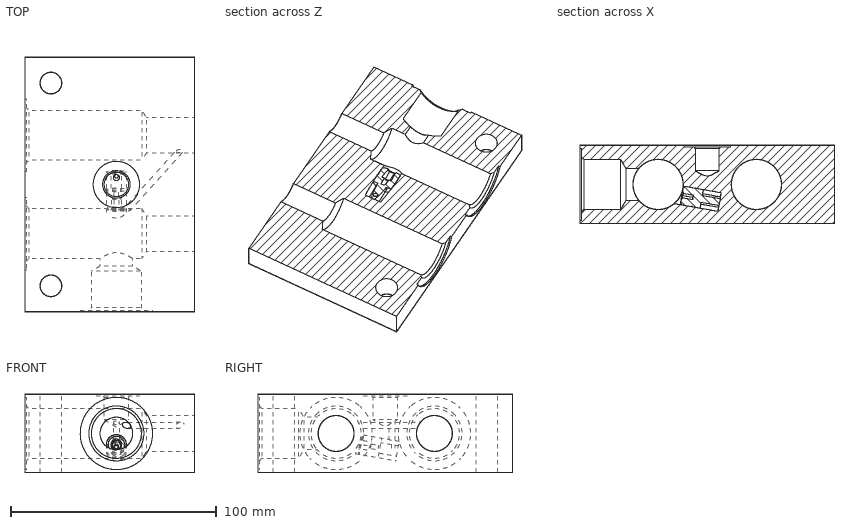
import cadquery as cq
import math

block_width = 82.6
block_length = 123.8
block_height = 38.1
left_face = -block_width / 2
front_face = -block_length / 2
top_face = block_height / 2

drill_point_angle = 118.0
port_centre_x = 3.2

spotface_depth = 0.7
port_chamfer = 1.2
large_spotface_radius = 17.6
large_thread_radius = 12.1
front_thread_depth = 19.8
main_chamber_depth = 57.0

gauge_spotface_radius = 11.3
gauge_chamfer = 0.7
gauge_thread_radius = 6.0
gauge_thread_depth = 12.4

main_bore_radius = 8.7
main_bore_offset = 23.9
front_bore_radius = 7.9

mounting_hole_radius = 5.2
mounting_hole_x = -28.6
mounting_hole_y = 49.3

small_drill_radius = 1.5
gauge_feed_y = 3.3
cross_start_x = 8.2
cross_z = 4.0
cross_angle = 42.0

screw_slope = 10.0
screw_face_y = -12.4
screw_face_z = -5.3
mouth_clearance = 8.7
screw_radius = 4.8
screw_chamfer_width = 0.9
screw_chamfer_depth = 0.6
screw_body_length = 9.9
nose_radius = 2.6
nose_length = 8.7
hex_across_flats = 4.2
hex_depth = 5.5
hex_countersink_radius = 2.6
hex_countersink_depth = 0.6
orifice_radius = 1.1
orifice_depth = 3.7
outlet_radius = 0.9
outlet_y = 4.0

screw_axis = cq.Vector(0, math.cos(math.radians(screw_slope)), -math.sin(math.radians(screw_slope)))
screw_face_centre = cq.Vector(port_centre_x, screw_face_y, screw_face_z)
screw_length = screw_body_length + nose_length
hex_corner_radius = hex_across_flats / 2 / math.cos(math.radians(30))


def drill_tip(wide_radius, narrow_radius=0.0):
    """Length of the cone that a drill point leaves between two radii."""
    return (wide_radius - narrow_radius) / math.tan(math.radians(drill_point_angle / 2))


def revolved(profile, origin, direction):
    """Solid of revolution: (radius, depth) points turned about an axis from origin along direction."""
    direction = cq.Vector(*direction)
    side = cq.Vector(0, 0, 1) if abs(direction.z) < 0.5 else cq.Vector(1, 0, 0)
    side = side - direction * side.dot(direction)
    frame = cq.Plane(origin=origin, xDir=side, normal=side.cross(direction))
    return cq.Workplane(frame).polyline(profile).close().revolve(360, (0, 0, 0), (0, 1, 0))


def port(origin, direction, spotface_radius, thread_radius, thread_depth, chamfer, bore_radius):
    """Spotfaced, chamfered port whose drill cone ends at the bore radius (0 for a full point)."""
    profile = [
        (0, 0),
        (spotface_radius, 0),
        (spotface_radius, spotface_depth),
        (thread_radius + chamfer, spotface_depth),
        (thread_radius, spotface_depth + chamfer),
        (thread_radius, thread_depth),
        (bore_radius, thread_depth + drill_tip(thread_radius, bore_radius)),
    ]
    if bore_radius > 0:
        profile.append((0, profile[-1][1]))
    return revolved(profile, origin, direction)


def drilling(start, direction, radius, length):
    """Plain round hole from start along direction."""
    return cq.Workplane(cq.Solid.makeCylinder(radius, length, cq.Vector(*start), cq.Vector(*direction)))


def screw_axis_height(y):
    """Z of the sloping screw axis at a given Y."""
    return screw_face_z - (y - screw_face_y) * math.tan(math.radians(screw_slope))


def make_block():
    block = cq.Workplane().box(block_width, block_length, block_height)

    for y in (-main_bore_offset, main_bore_offset):
        entry = (left_face, y, 0)
        block = block.cut(drilling(entry, (1, 0, 0), main_bore_radius, block_width))
        block = block.cut(port(entry, (1, 0, 0), large_spotface_radius, large_thread_radius,
                               main_chamber_depth, port_chamfer, main_bore_radius))

    entry = (port_centre_x, front_face, 0)
    block = block.cut(port(entry, (0, 1, 0), large_spotface_radius, large_thread_radius,
                           front_thread_depth, port_chamfer, front_bore_radius))
    block = block.cut(drilling(entry, (0, 1, 0), front_bore_radius, -main_bore_offset - front_face))

    entry = (port_centre_x, 0, top_face)
    block = block.cut(port(entry, (0, 0, -1), gauge_spotface_radius, gauge_thread_radius,
                           gauge_thread_depth, gauge_chamfer, 0))

    for y in (-mounting_hole_y, mounting_hole_y):
        block = block.cut(drilling((mounting_hole_x, y, top_face), (0, 0, -1),
                                   mounting_hole_radius, block_height))

    swing = math.radians(cross_angle)
    wall_y = math.sqrt(large_thread_radius**2 - cross_z**2) - main_bore_offset
    cross_direction = cq.Vector(math.sin(swing), math.cos(swing), 0)
    cross_start = cq.Vector(cross_start_x, wall_y, cross_z) - cross_direction * (2 * small_drill_radius)
    cross_end_y = main_bore_offset - main_bore_radius / 2
    cross_length = (cross_end_y - cross_start.y) / math.cos(swing)
    block = block.cut(drilling(cross_start.toTuple(), cross_direction.toTuple(),
                               small_drill_radius, cross_length))

    mouth = screw_face_centre - screw_axis * mouth_clearance
    block = block.cut(drilling(mouth.toTuple(), screw_axis.toTuple(), screw_radius,
                               mouth_clearance + screw_length))

    feed_bottom = screw_axis_height(gauge_feed_y)
    feed_top = top_face - gauge_thread_depth
    return block.cut(drilling((port_centre_x, gauge_feed_y, feed_bottom), (0, 0, 1),
                              small_drill_radius, feed_top - feed_bottom))


def make_orifice_screw():
    """Hex socket screw with a chamfered head end and a round nose that has an outlet hole in its top."""
    body = revolved(
        [
            (0, 0),
            (screw_radius - screw_chamfer_width, 0),
            (screw_radius, screw_chamfer_depth),
            (screw_radius, screw_body_length),
            (nose_radius, screw_body_length),
            (nose_radius, screw_length),
            (0, screw_length),
        ],
        screw_face_centre.toTuple(),
        screw_axis.toTuple(),
    )
    countersink = revolved(
        [
            (0, 0),
            (hex_countersink_radius, 0),
            (hex_across_flats / 2, hex_countersink_depth),
            (0, hex_countersink_depth),
        ],
        screw_face_centre.toTuple(),
        screw_axis.toTuple(),
    )
    face = cq.Plane(origin=screw_face_centre.toTuple(), xDir=(1, 0, 0), normal=screw_axis.toTuple())
    socket = cq.Workplane(face).polygon(6, 2 * hex_corner_radius).extrude(hex_depth)
    orifice = cq.Workplane(face).circle(orifice_radius).extrude(hex_depth + orifice_depth)
    outlet = drilling((port_centre_x, outlet_y, screw_axis_height(outlet_y)), (0, 0, 1),
                      outlet_radius, 2 * nose_radius)
    return body.cut(countersink).cut(socket).cut(orifice).cut(outlet)


block = make_block()
orifice_screw = make_orifice_screw()

result = cq.Compound.makeCompound([block.val(), orifice_screw.val()])